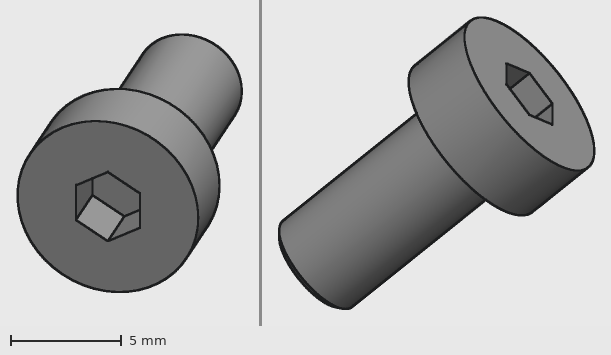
import cadquery as cq
import math

head_diameter = 8.5
head_height = 3.5
shank_diameter = 5.0
shank_length = 10.0
tip_chamfer = 0.25
socket_across_flats = 3.0
socket_depth = 2.7


def make_head():
    """Cylindrical head, reaching from Y = 0 toward -Y."""
    return cq.Workplane("XZ").circle(head_diameter / 2).extrude(head_height)


def make_shank():
    """Plain shank toward +Y with a chamfered tip."""
    shank = cq.Workplane("XZ").circle(shank_diameter / 2).extrude(-shank_length)
    return shank.faces(">Y").edges().chamfer(tip_chamfer)


def make_socket():
    """Hexagonal drive socket, sunk into the head face with two corners on the Z axis."""
    across_corners = socket_across_flats / math.cos(math.radians(30))
    return (
        cq.Workplane("XZ", origin=(0, -head_height, 0))
        .transformed(rotate=(0, 0, 90))
        .polygon(6, across_corners)
        .extrude(-socket_depth)
    )


result = make_head().union(make_shank()).cut(make_socket())